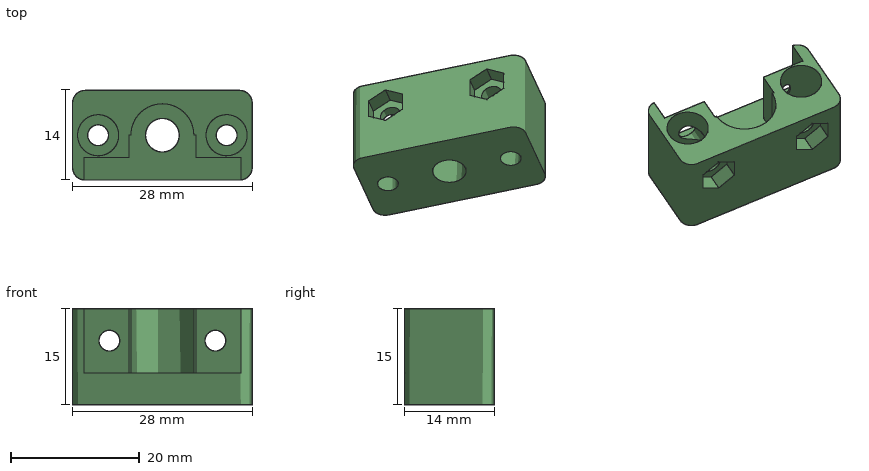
import cadquery as cq
import math

length = 28.0
width = 14.0
height = 15.0
corner_radius = 2.0

floor_height = 5.0
recess_length = 24.4
recess_depth = 3.5

bore_diameter = 9.8
slot_width = 10.4
center_hole_diameter = 5.2

screw_spacing = 20.0
screw_hole_diameter = 3.2
counterbore_diameter = 6.4
counterbore_depth = 12.0

clamp_spacing = 16.5
clamp_hole_diameter = 3.2
clamp_hole_height = 10.0

nut_across_flats = 5.5
nut_pocket_depth = 2.5

front_y = -width / 2
back_y = width / 2
upper_height = height - floor_height


def make_block():
    """Rectangular block standing on Z = 0 with rounded vertical edges."""
    block = cq.Workplane("XY").box(length, width, height, centered=(True, True, False))
    return block.edges("|Z").fillet(corner_radius)


def cut_recess(body):
    """Recess along the front face, open upwards and to the front."""
    recess = (
        cq.Workplane("XY", origin=(0, front_y, floor_height))
        .box(recess_length, 2 * recess_depth, upper_height, centered=(True, True, False))
    )
    return body.cut(recess)


def cut_center(body):
    """Blind bore opened to the front by a slot, with a through hole in its floor."""
    slot = (
        cq.Workplane("XY", origin=(0, front_y / 2, floor_height))
        .box(slot_width, width / 2, upper_height, centered=(True, True, False))
    )
    bore = cq.Workplane("XY", origin=(0, 0, floor_height)).circle(bore_diameter / 2).extrude(upper_height)
    hole = cq.Workplane("XY").circle(center_hole_diameter / 2).extrude(height)
    return body.cut(slot).cut(bore).cut(hole)


def cut_screw_holes(body):
    """Two vertical through holes, counterbored from the top face."""
    centers = [(-screw_spacing / 2, 0), (screw_spacing / 2, 0)]
    holes = cq.Workplane("XY").pushPoints(centers).circle(screw_hole_diameter / 2).extrude(height)
    counterbores = (
        cq.Workplane("XY", origin=(0, 0, height - counterbore_depth))
        .pushPoints(centers)
        .circle(counterbore_diameter / 2)
        .extrude(counterbore_depth)
    )
    return body.cut(holes).cut(counterbores)


def clamp_centers():
    """Positions of the two clamp holes in the XZ plane."""
    return [(-clamp_spacing / 2, clamp_hole_height), (clamp_spacing / 2, clamp_hole_height)]


def cut_clamp_holes(body):
    """Two horizontal through holes from the front face to the back face."""
    holes = (
        cq.Workplane("XZ", origin=(0, front_y, 0))
        .pushPoints(clamp_centers())
        .circle(clamp_hole_diameter / 2)
        .extrude(-width)
    )
    return body.cut(holes)


def cut_nut_pockets(body):
    """Hexagonal pockets sunk from the back face, with corners pointing up and down."""
    across_corners = nut_across_flats / math.cos(math.radians(30))
    for x, z in clamp_centers():
        pocket = (
            cq.Workplane("XZ", origin=(x, back_y, z))
            .transformed(rotate=(0, 0, 90))
            .polygon(6, across_corners)
            .extrude(nut_pocket_depth)
        )
        body = body.cut(pocket)
    return body


result = make_block()
result = cut_recess(result)
result = cut_center(result)
result = cut_screw_holes(result)
result = cut_clamp_holes(result)
result = cut_nut_pockets(result)